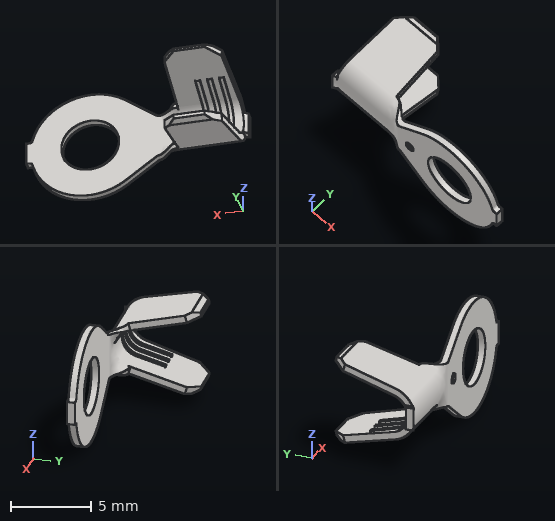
import cadquery as cq
import math


thickness = 0.508

ring_radius = 3.81
stud_hole_diameter = 3.68
end_tab_x = 4.09
end_tab_half_width = 0.76
end_tab_fillet = 0.2
dimple_x = -3.43
dimple_diameter = 0.65
dimple_depth = 0.15

neck_x = -4.44
neck_half_width = 1.5
neck_fillet = 0.3
neck_shoulder_x = -5.43
neck_shoulder_outer_edge = (1.15, 1.69)
neck_shoulder_inner_edge = (1.26, 1.35)
neck_bend_x = -4.87
neck_bend_outer_edge = (0.35, neck_half_width)
neck_bend_inner_edge = (0.77, 1.45)

barrel_front_x = -5.84
barrel_rear_x = -9.88
rear_slope = math.radians(4.7)
outer_radius = 1.8
inner_radius = outer_radius - thickness
lean = math.radians(15)
arm_height = 5.84
tip_thickness = 0.25
tip_bevel_length = 0.4
front_corner_chamfer = 0.76
rear_corner_chamfer = 0.81

groove_x = -9.05
groove_pitch = 0.757
groove_count = 3
groove_width = 0.3
groove_depth = 0.1
groove_top_y = 3.3

rear_tab_x = -10.13
rear_tab_half_width = 0.75
rear_tab_root_x = -9.8

arm_length = (arm_height - outer_radius + inner_radius * math.sin(lean)) / math.cos(lean)


def arm_point(radius, distance):
    """(Y, Z) on the +Z arm, at a distance along the arm, on the line continuing the arc of this radius."""
    y = outer_radius - radius * math.sin(lean) + distance * math.cos(lean)
    z = radius * math.cos(lean) + distance * math.sin(lean)
    return (y, z)


def mirrored(point):
    """The (Y, Z) point on the -Z side."""
    return (point[0], -point[1])


def ring_outline_side():
    """Points of the +Z side: neck fillet start, middle and end, then tangent point on the ring."""
    fillet_center_z = neck_half_width + neck_fillet
    center_distance = math.hypot(neck_x, fillet_center_z)
    center_angle = math.atan2(fillet_center_z, neck_x)
    slope = center_angle - math.pi + math.asin((ring_radius + neck_fillet) / center_distance)

    def fillet_point(angle):
        return (neck_x + neck_fillet * math.sin(angle), fillet_center_z - neck_fillet * math.cos(angle))

    tangent = (-ring_radius * math.sin(slope), ring_radius * math.cos(slope))
    return fillet_point(0), fillet_point(slope / 2), fillet_point(slope), tangent


def make_ring_tongue():
    start, middle, end, tangent = ring_outline_side()
    tongue = (
        cq.Workplane("XZ")
        .moveTo(*mirrored(start))
        .lineTo(*start)
        .threePointArc(middle, end)
        .lineTo(*tangent)
        .threePointArc((ring_radius, 0), mirrored(tangent))
        .lineTo(*mirrored(end))
        .threePointArc(mirrored(middle), mirrored(start))
        .close()
        .extrude(-thickness)
    )
    tab = (
        cq.Workplane("XZ")
        .center(end_tab_x / 2, 0)
        .rect(end_tab_x, 2 * end_tab_half_width)
        .extrude(-thickness)
    )
    root_x = math.sqrt(ring_radius**2 - end_tab_half_width**2)
    roots = cq.selectors.BoxSelector(
        (root_x - end_tab_fillet, -thickness, -ring_radius),
        (root_x + end_tab_fillet, 2 * thickness, ring_radius),
    )
    tongue = tongue.union(tab).edges("|Y").edges(roots).fillet(end_tab_fillet)
    stud_hole = cq.Workplane("XZ").circle(stud_hole_diameter / 2).extrude(-thickness)
    dimple = cq.Workplane("XZ").center(dimple_x, 0).circle(dimple_diameter / 2).extrude(-dimple_depth)
    return tongue.cut(stud_hole).cut(dimple)


def u_band(shell_outer, shell_inner, outer_length, inner_length, tip_points=()):
    """Closed U profile in the YZ plane; tip_points lie between the outer and inner arm ends."""
    outer_root = arm_point(shell_outer, 0)
    inner_root = arm_point(shell_inner, 0)
    profile = (
        cq.Workplane("YZ")
        .moveTo(*mirrored(outer_root))
        .threePointArc((outer_radius - shell_outer, 0), outer_root)
        .lineTo(*arm_point(shell_outer, outer_length))
    )
    for point in tip_points:
        profile = profile.lineTo(*point)
    profile = (
        profile.lineTo(*arm_point(shell_inner, inner_length))
        .lineTo(*inner_root)
        .threePointArc((outer_radius - shell_inner, 0), mirrored(inner_root))
        .lineTo(*mirrored(arm_point(shell_inner, inner_length)))
    )
    for point in reversed(tip_points):
        profile = profile.lineTo(*mirrored(point))
    return profile.lineTo(*mirrored(arm_point(shell_outer, outer_length))).close()


def make_corner_cutter(corner_x, inward, size):
    """Prism that takes the corner off the +Z arm, square to the arm."""
    root_y, root_z = arm_point(inner_radius, 0)
    arm_plane = cq.Plane(
        origin=(0, root_y, root_z),
        xDir=(1, 0, 0),
        normal=(0, -math.sin(lean), math.cos(lean)),
    )
    reach = 2 * size
    return (
        cq.Workplane(arm_plane)
        .polyline(
            [
                (corner_x - inward * size, arm_length - 2 * size),
                (corner_x + inward * reach, arm_length + size),
                (corner_x - inward * size, arm_length + size),
            ]
        )
        .close()
        .extrude(2 * thickness, both=True)
    )


def make_barrel():
    bevel_start = arm_length - tip_bevel_length
    tip_outer = arm_point(inner_radius + tip_thickness, arm_length)
    barrel = u_band(outer_radius, inner_radius, bevel_start, arm_length, (tip_outer,)).extrude(
        barrel_rear_x - barrel_front_x
    )
    barrel = barrel.translate((barrel_front_x, 0, 0))

    rear_shift = arm_height * math.tan(rear_slope)
    rear_wedge = (
        cq.Workplane("XY")
        .polyline([(barrel_rear_x, 0), (barrel_rear_x + rear_shift, arm_height), (barrel_rear_x, arm_height)])
        .close()
        .extrude(arm_height, both=True)
    )
    barrel = barrel.cut(rear_wedge)

    for corner_x, inward, size in (
        (barrel_front_x, -1, front_corner_chamfer),
        (barrel_rear_x + rear_shift, 1, rear_corner_chamfer),
    ):
        cutter = make_corner_cutter(corner_x, inward, size)
        barrel = barrel.cut(cutter).cut(cutter.mirror("XY"))
    return barrel


def make_grooves():
    """U-shaped bars that sink the wire grooves into the inside of the barrel."""
    length = (groove_top_y - arm_point(inner_radius, 0)[0]) / math.cos(lean)
    bar = u_band(inner_radius + groove_depth, inner_radius, length, length).extrude(groove_width)
    grooves = cq.Workplane()
    for index in range(groove_count):
        start_x = groove_x + index * groove_pitch - groove_width / 2
        grooves = grooves.add(bar.translate((start_x, 0, 0)))
    return grooves.combine()


def curved_section(x, outer_edge, inner_edge):
    """Strip cross-section at x, curved from the (Y, Z) edge corners to the flat tongue's level at Z = 0."""
    section = cq.Workplane("YZ", origin=(x, 0, 0)).moveTo(*mirrored(outer_edge))
    section = section.threePointArc((0, 0), outer_edge).lineTo(*inner_edge)
    return section.threePointArc((thickness, 0), mirrored(inner_edge)).close().val()


def flat_section(x, half_width):
    """Flat strip cross-section at x."""
    section = cq.Workplane("YZ", origin=(x, 0, 0)).center(thickness / 2, 0)
    return section.rect(thickness, 2 * half_width).wires().val()


def floor_point(radius, half_width):
    """(Y, Z) on the round barrel floor of this radius at Z = half_width."""
    return (outer_radius - math.sqrt(radius**2 - half_width**2), half_width)


def make_neck():
    barrel_end = curved_section(barrel_front_x, arm_point(outer_radius, 0), arm_point(inner_radius, 0))
    shoulder = curved_section(neck_shoulder_x, neck_shoulder_outer_edge, neck_shoulder_inner_edge)
    bend = curved_section(neck_bend_x, neck_bend_outer_edge, neck_bend_inner_edge)
    tongue_end = flat_section(neck_x, neck_half_width)
    return cq.Workplane(cq.Solid.makeLoft([barrel_end, shoulder, bend, tongue_end], False))


def make_rear_tab():
    root = curved_section(
        rear_tab_root_x,
        floor_point(outer_radius, rear_tab_half_width),
        floor_point(inner_radius, rear_tab_half_width),
    )
    return cq.Workplane(cq.Solid.makeLoft([root, flat_section(rear_tab_x, rear_tab_half_width)], True))


barrel = make_barrel().cut(make_grooves())
result = make_ring_tongue().union(make_neck()).union(barrel).union(make_rear_tab())